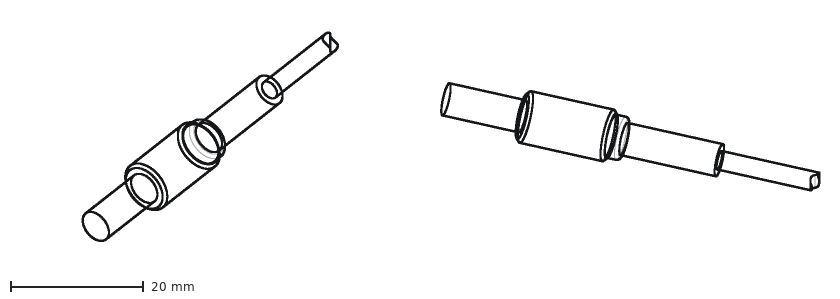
import cadquery as cq

total_length = 58.46

tip_diameter = 5.0
tip_length = 12.0
sleeve_diameter = 8.0
sleeve_length = 14.0
sleeve_chamfer = 0.5

collar_diameter = 6.7
collar_length = 2.0
collar_fillet = 0.5
relief_diameter = 5.0
relief_end = 43.0
cable_diameter = 2.9

break_crest_height = 0.42
break_hollow_depth = 0.48

sleeve_start = tip_length
sleeve_end = sleeve_start + sleeve_length
collar_end = sleeve_end + collar_length


def rod(diameter, start, end):
    """Cylinder on the Y axis from y = start to y = end."""
    return cq.Workplane("XZ", origin=(0, start, 0)).circle(diameter / 2).extrude(start - end)


def make_housing():
    """Tip and sleeve; the sleeve is chamfered at both ends."""
    tip = rod(tip_diameter, 0, sleeve_start)
    sleeve = rod(sleeve_diameter, sleeve_start, sleeve_end).faces("<Y or >Y").chamfer(sleeve_chamfer)
    return tip.union(sleeve)


def make_broken_cable():
    """Bare cable whose free end follows the S-shaped break line."""
    radius = cable_diameter / 2
    break_middle = total_length - break_crest_height
    outline = (
        cq.Workplane("XY")
        .moveTo(-radius, relief_end)
        .lineTo(-radius, break_middle)
        .threePointArc((-radius / 2, total_length), (0, break_middle))
        .threePointArc((radius / 2, break_middle - break_hollow_depth), (radius, break_middle))
        .lineTo(radius, relief_end)
        .close()
        .extrude(radius, both=True)
    )
    return rod(cable_diameter, relief_end, total_length).intersect(outline)


def make_cable_assembly():
    """Collar seated on the sleeve's rear face, strain relief and cable in one piece."""
    collar = rod(collar_diameter, sleeve_end, collar_end).faces(">Y").edges().fillet(collar_fillet)
    relief = rod(relief_diameter, collar_end, relief_end)
    return collar.union(relief).union(make_broken_cable())


housing = make_housing()
cable_assembly = make_cable_assembly()

result = cq.Compound.makeCompound([housing.solids().val(), cable_assembly.solids().val()])